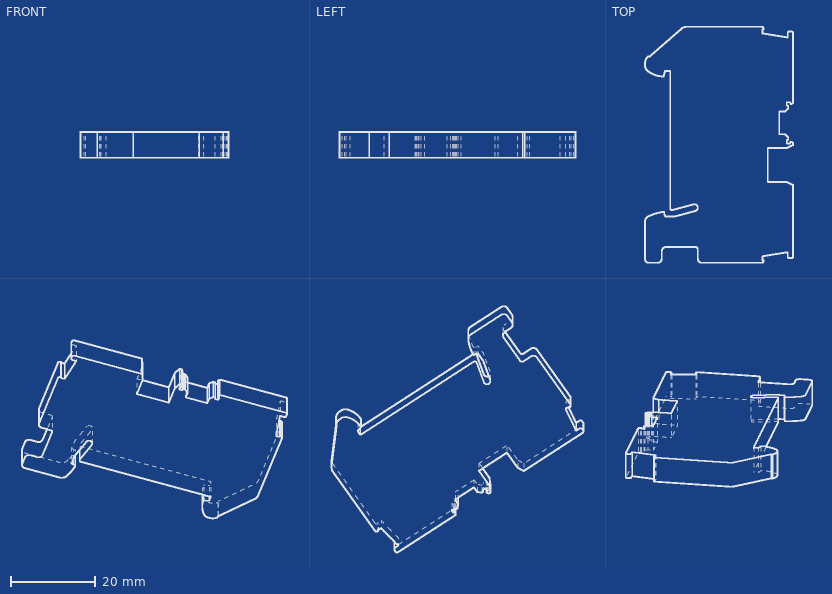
import cadquery as cq
import math

LENGTH = 56.1
DEPTH = 35.25
THICKNESS = 6.15
OVERCUT = 0.55
OUTSIDE = DEPTH + OVERCUT

RAIL_FACE_X = 6.0
FOOT_WIDTH = 4.05
FOOT_RADIUS = 1.0
SMALL_RADIUS = 0.5
RECESS_END_X = 12.55
RECESS_HEIGHT = 3.75

LATCH_SIDE_TOP = 9.75
LATCH_SHOULDER = (0.85, 11.1)
LATCH_TIP_START = (4.05, 12.1)
LATCH_TIP_X = 4.65
LATCH_TIP_DROP = 0.55
LATCH_SEAT = (4.9, 11.05)
LATCH_TOP_BULGE = 0.1
LATCH_SHOULDER_BULGE = 0.2

HOOK_SEAT = (4.8, 45.55)
HOOK_TIP = (4.5, 44.25)
HOOK_TIP_WIDTH = 0.35
HOOK_NOSE_DEPTH = 0.8
HOOK_NOSE_TOP = 47.35
HOOK_NOSE_BOTTOM = 46.95
HOOK_JAW_Y = 45.5
HOOK_TOP_Y = 49.05
NOSE_BULGE = 0.195
JAW_BULGE = 0.3
SLOPE_START = (1.1, HOOK_TOP_Y)
SLOPE_ANGLE = math.radians(41)
SLOPE_TOP_RADIUS = 1.7

SLOT_ANGLE = math.radians(15)
SLOT_RADIUS = 0.8
SLOT_END_Y = 13.1

MARKER_WALL_X = 28.0
MARKER_LIP = 0.2
MARKER_LIP_HEIGHT = 0.6
MARKER_WALL_TOP = 1.55
MARKER_INNER_TOP = 2.5
TAB_WIDTH = 1.35
TAB_END_Y = 1.1
TAB_RADIUS = 0.45

OPENING_FLOOR_X = 29.25
OPENING_BOTTOM = 19.25
OPENING_TOP = 27.25
BEVEL_DEPTH = 1.5
BEVEL_HEIGHT = 0.75

POCKET_CENTRE_Y = 33.25
POCKET_HALF_PROFILE = [
    (32.0, 2.7),
    (33.3, 2.7),
    (34.1, 3.5),
    (34.1, 3.9),
    (33.7, 4.15),
    (33.7, 4.9),
    (34.5, 4.9),
    (34.5, 4.55),
    (34.8, 4.45),
    (DEPTH, 4.75),
    (OUTSIDE, 4.75),
]


def midpoint_bulged(start, end, bulge):
    """Point at the middle of a chord, moved to its right-hand side by bulge."""
    dx = end[0] - start[0]
    dy = end[1] - start[1]
    chord = math.hypot(dx, dy)
    return (
        (start[0] + end[0]) / 2 + bulge * dy / chord,
        (start[1] + end[1]) / 2 - bulge * dx / chord,
    )


def slot_end_point(angle):
    """Point on the round slot end, at an angle measured from the slot direction."""
    return (
        RECESS_END_X - SLOT_RADIUS + SLOT_RADIUS * math.cos(SLOT_ANGLE + angle),
        SLOT_END_Y + SLOT_RADIUS * math.sin(SLOT_ANGLE + angle),
    )


def slot_edge_end(side):
    """Point where a slanted edge meets the slot end; side is 1 for the upper edge, -1 for the lower."""
    return slot_end_point(side * math.pi / 2)


def plate(sketch):
    """Extrude a closed outline to the housing thickness, centred on Z = 0."""
    return sketch.close().extrude(THICKNESS / 2, both=True)


def mirrored_in_y(points, centre_y):
    return [(x, 2 * centre_y - y) for x, y in points]


def round_corner(body, corner, radius):
    """Fillet the upright edge that passes through corner."""
    selector = cq.selectors.NearestToPointSelector((*corner, 0))
    return body.edges("|Z").edges(selector).fillet(radius)


def housing():
    slope_top = (SLOPE_START[0] + (LENGTH - SLOPE_START[1]) / math.tan(SLOPE_ANGLE), LENGTH)
    slot_slope = math.tan(SLOT_ANGLE)
    upper_x, upper_y = slot_edge_end(1)
    rail_face_end = (RAIL_FACE_X, upper_y - (upper_x - RAIL_FACE_X) * slot_slope)
    lower_x, lower_y = slot_edge_end(-1)
    seat_y = LATCH_SEAT[1]
    seat_end = (lower_x - (lower_y - seat_y) / slot_slope, seat_y)
    hook_top = (HOOK_NOSE_DEPTH, HOOK_TOP_Y)
    nose_top = (0, HOOK_NOSE_TOP)
    jaw_end = (HOOK_NOSE_DEPTH, HOOK_JAW_Y)
    jaw_start = (HOOK_TIP[0] - HOOK_TIP_WIDTH, HOOK_TIP[1])
    latch_side = (0, LATCH_SIDE_TOP)
    outline = (
        cq.Workplane("XY")
        .moveTo(DEPTH, 0)
        .lineTo(DEPTH, LENGTH)
        .lineTo(*slope_top)
        .lineTo(*SLOPE_START)
        .lineTo(*hook_top)
        .threePointArc(midpoint_bulged(hook_top, nose_top, NOSE_BULGE), nose_top)
        .lineTo(0, HOOK_NOSE_BOTTOM)
        .tangentArcPoint(jaw_end, relative=False)
        .threePointArc(midpoint_bulged(jaw_end, jaw_start, JAW_BULGE), jaw_start)
        .lineTo(*HOOK_TIP)
        .lineTo(*HOOK_SEAT)
        .lineTo(RAIL_FACE_X, HOOK_SEAT[1])
        .lineTo(*rail_face_end)
        .lineTo(*slot_edge_end(1))
        .threePointArc(slot_end_point(0), slot_edge_end(-1))
        .lineTo(*seat_end)
        .lineTo(*LATCH_SEAT)
        .lineTo(LATCH_TIP_X, LATCH_TIP_START[1] - LATCH_TIP_DROP)
        .lineTo(LATCH_TIP_X, LATCH_TIP_START[1])
        .lineTo(*LATCH_TIP_START)
        .threePointArc(midpoint_bulged(LATCH_TIP_START, LATCH_SHOULDER, LATCH_TOP_BULGE), LATCH_SHOULDER)
        .threePointArc(midpoint_bulged(LATCH_SHOULDER, latch_side, LATCH_SHOULDER_BULGE), latch_side)
        .lineTo(0, 0)
        .lineTo(FOOT_WIDTH, 0)
        .lineTo(FOOT_WIDTH, RECESS_HEIGHT)
        .lineTo(RECESS_END_X, RECESS_HEIGHT)
        .lineTo(RECESS_END_X, 0)
    )
    body = plate(outline)
    body = round_corner(body, slope_top, SLOPE_TOP_RADIUS)
    foot_corners = [(0, 0), (FOOT_WIDTH, 0), (FOOT_WIDTH, RECESS_HEIGHT), (RECESS_END_X, 0)]
    for corner in foot_corners:
        body = round_corner(body, corner, FOOT_RADIUS)
    for corner in (rail_face_end, (RECESS_END_X, RECESS_HEIGHT)):
        body = round_corner(body, corner, SMALL_RADIUS)
    return body


def marker_recess():
    """Cutter for the recess at the Y = 0 end; it leaves a tab along the front face."""
    tab_x = DEPTH - TAB_WIDTH
    points = [
        (MARKER_WALL_X + MARKER_LIP, -OVERCUT),
        (MARKER_WALL_X + MARKER_LIP, MARKER_LIP_HEIGHT),
        (MARKER_WALL_X, MARKER_LIP_HEIGHT),
        (MARKER_WALL_X, MARKER_WALL_TOP),
        (tab_x, MARKER_INNER_TOP),
        (tab_x, TAB_END_Y),
        (OUTSIDE, TAB_END_Y),
        (OUTSIDE, -OVERCUT),
    ]
    return plate(cq.Workplane("XY").polyline(points))


def front_opening():
    bevel_x = DEPTH - BEVEL_DEPTH
    points = [
        (OPENING_FLOOR_X, OPENING_BOTTOM),
        (bevel_x, OPENING_BOTTOM),
        (DEPTH, OPENING_BOTTOM - BEVEL_HEIGHT),
        (OUTSIDE, OPENING_BOTTOM - BEVEL_HEIGHT),
    ]
    centre_y = (OPENING_BOTTOM + OPENING_TOP) / 2
    points += reversed(mirrored_in_y(points, centre_y))
    return plate(cq.Workplane("XY").polyline(points))


def snap_pocket():
    upper = [(x, POCKET_CENTRE_Y + offset) for x, offset in POCKET_HALF_PROFILE]
    lower = mirrored_in_y(upper, POCKET_CENTRE_Y)
    return plate(cq.Workplane("XY").polyline(lower[::-1] + upper))


recess = marker_recess()
far_recess = recess.mirror("XZ").translate((0, LENGTH, 0))
result = housing().cut(recess).cut(far_recess).cut(front_opening()).cut(snap_pocket())
for lip_y, tab_y in ((0, TAB_END_Y), (LENGTH, LENGTH - TAB_END_Y)):
    result = round_corner(result, (MARKER_WALL_X + MARKER_LIP, lip_y), SMALL_RADIUS)
    for tab_x in (DEPTH - TAB_WIDTH, DEPTH):
        result = round_corner(result, (tab_x, tab_y), TAB_RADIUS)